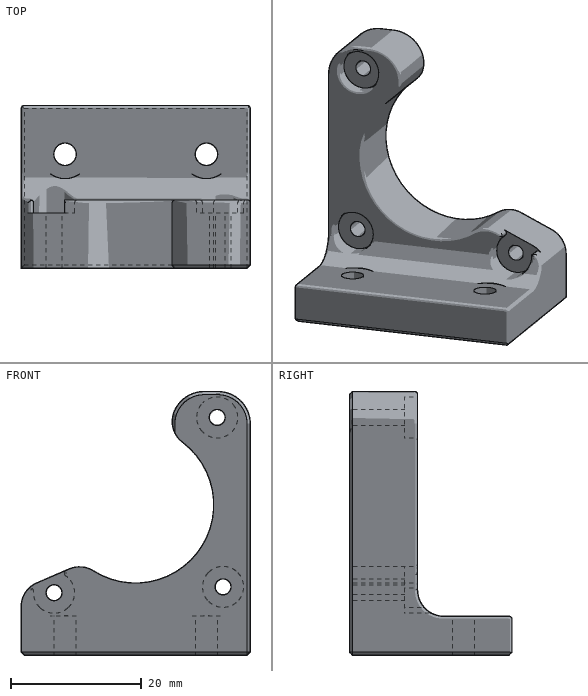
import cadquery as cq
import math

WIDTH = 35.2
DEPTH = 25.0
HEIGHT = 40.5
BASE_THICKNESS = 6.0
WALL_THICKNESS = 10.5
ROOT_RADIUS = 4.0
EDGE_CHAMFER = 0.5
EDGE_RADIUS = 0.5

SEAT_CENTER = (17.55, 23.1)
SEAT_RADIUS = 12.0
BLEND_RADIUS = 4.0
SHOULDER_CENTER = (BLEND_RADIUS, 7.45)
SHOULDER_SLOPE = math.radians(23.3)
UPHILL_NORMAL = SHOULDER_SLOPE + math.pi / 2
HEAD_RADIUS = 5.0
HEAD_FLAT = 2.1
HEAD_RIGHT = (WIDTH - HEAD_RADIUS, HEIGHT - HEAD_RADIUS)
HEAD_LEFT = (HEAD_RIGHT[0] - HEAD_FLAT, HEIGHT - HEAD_RADIUS)

SHOULDER_HOLE = (5.06, 9.6)
WALL_HOLES = [SHOULDER_HOLE, (31.0, 10.5), (30.1, 36.5)]
WALL_HOLE_RADIUS = 1.2
COUNTERBORE_RADIUS = 3.15
COUNTERBORE_DEPTH = 2.0
COUNTERBORE_FLOOR = WALL_THICKNESS - COUNTERBORE_DEPTH

BASE_HOLE_Y = 17.5
BASE_HOLES_X = (6.75, 28.45)
BASE_HOLE_RADIUS = 1.7
SPOT_FACE_RADIUS = 3.75

CLEARANCE = 5.0
TOLERANCE = 0.01


def polar(center, radius, angle):
    return (center[0] + radius * math.cos(angle), center[1] + radius * math.sin(angle))


def direction(start, end):
    return math.atan2(end[1] - start[1], end[0] - start[0])


def prism_along_y(sketch, y_start, y_end):
    """Extrude a closed XZ sketch from y_start to y_end."""
    return sketch.extrude(y_start - y_end).translate((0, y_start, 0))


def cylinder_along_y(center, radius, y_start, y_end):
    return prism_along_y(cq.Workplane("XZ").moveTo(*center).circle(radius), y_start, y_end)


def point_on_slope(start, center, radius, side):
    """Point on the line through start, parallel to the shoulder, at a radius from center.

    The line meets the circle twice: side -1 is the lower point and +1 the upper one.
    """
    gap_x = center[0] - start[0]
    gap_z = center[1] - start[1]
    along = gap_x * math.cos(SHOULDER_SLOPE) + gap_z * math.sin(SHOULDER_SLOPE)
    across = gap_z * math.cos(SHOULDER_SLOPE) - gap_x * math.sin(SHOULDER_SLOPE)
    return polar(start, along + side * math.sqrt(radius**2 - across**2), SHOULDER_SLOPE)


def circles_meet(center, radius, other_center, other_radius):
    """Meeting point of two circles, on the left when looking from the first to the second."""
    span = math.dist(center, other_center)
    cosine = (radius**2 + span**2 - other_radius**2) / (2 * radius * span)
    return polar(center, radius, direction(center, other_center) + math.acos(cosine))


def make_blank():
    """L-shaped bracket with a rounded head; front and bottom edges are chamfered."""
    side = (
        cq.Workplane("YZ")
        .lineTo(DEPTH, 0)
        .lineTo(DEPTH, BASE_THICKNESS)
        .lineTo(WALL_THICKNESS + ROOT_RADIUS, BASE_THICKNESS)
        .radiusArc((WALL_THICKNESS, BASE_THICKNESS + ROOT_RADIUS), ROOT_RADIUS)
        .lineTo(WALL_THICKNESS, HEIGHT)
        .lineTo(0, HEIGHT)
        .close()
        .extrude(WIDTH)
    )
    head_left_x = HEAD_LEFT[0] - HEAD_RADIUS
    ledge_z = SEAT_CENTER[1]
    front = (
        cq.Workplane("XZ")
        .lineTo(WIDTH, 0)
        .lineTo(WIDTH, HEAD_RIGHT[1])
        .radiusArc((HEAD_RIGHT[0], HEIGHT), -HEAD_RADIUS)
        .lineTo(HEAD_LEFT[0], HEIGHT)
        .radiusArc((head_left_x, HEAD_LEFT[1]), -HEAD_RADIUS)
        .lineTo(head_left_x, ledge_z)
        .lineTo(0, ledge_z)
        .close()
    )
    blank = side.intersect(prism_along_y(front, 0, DEPTH))
    front_edges = [
        edge
        for edge in blank.faces("<Y").edges().vals()
        if edge.BoundingBox().xmax > TOLERANCE and abs(edge.Center().z - ledge_z) > TOLERANCE
    ]
    bottom_edges = [edge for edge in blank.faces("<Z").edges().vals() if edge.Center().y > TOLERANCE]
    return blank.newObject(front_edges + bottom_edges).chamfer(EDGE_CHAMFER)


def make_seat_cut():
    """Everything above the shoulder, inside the seat and left of the head."""
    reach = SEAT_RADIUS + BLEND_RADIUS
    crest = point_on_slope(SHOULDER_CENTER, SEAT_CENTER, reach, -1)
    neck = circles_meet(SEAT_CENTER, reach, HEAD_LEFT, HEAD_RADIUS - BLEND_RADIUS)
    crest_end = direction(crest, SEAT_CENTER)
    neck_start = direction(neck, SEAT_CENTER) + 2 * math.pi
    neck_end = direction(HEAD_LEFT, neck)
    seat_middle = (direction(SEAT_CENTER, crest) + direction(SEAT_CENTER, neck)) / 2
    head_touch = polar(neck, BLEND_RADIUS, neck_end)
    sketch = (
        cq.Workplane("XZ")
        .moveTo(-CLEARANCE, SHOULDER_CENTER[1])
        .lineTo(0, SHOULDER_CENTER[1])
        .threePointArc(
            polar(SHOULDER_CENTER, BLEND_RADIUS, (math.pi + UPHILL_NORMAL) / 2),
            polar(SHOULDER_CENTER, BLEND_RADIUS, UPHILL_NORMAL),
        )
        .lineTo(*polar(crest, BLEND_RADIUS, UPHILL_NORMAL))
        .threePointArc(
            polar(crest, BLEND_RADIUS, (UPHILL_NORMAL + crest_end) / 2),
            polar(crest, BLEND_RADIUS, crest_end),
        )
        .threePointArc(
            polar(SEAT_CENTER, SEAT_RADIUS, seat_middle),
            polar(neck, BLEND_RADIUS, neck_start),
        )
        .threePointArc(polar(neck, BLEND_RADIUS, (neck_start + neck_end) / 2), head_touch)
        .lineTo(-CLEARANCE, head_touch[1])
        .close()
    )
    return prism_along_y(sketch, -CLEARANCE, DEPTH + CLEARANCE)


def is_rounded_edge(edge):
    """True for the convex edges of the back, the base top and the root round's ends."""
    box = edge.BoundingBox()
    if box.zmax < EDGE_CHAMFER + TOLERANCE or box.ymin < WALL_THICKNESS - TOLERANCE:
        return False
    root_tangent_heights = (BASE_THICKNESS, BASE_THICKNESS + ROOT_RADIUS)
    is_level = box.ylen < TOLERANCE and box.zlen < TOLERANCE
    is_root_tangent = (
        is_level
        and box.ymax < DEPTH - TOLERANCE
        and any(abs(box.zmax - height) < TOLERANCE for height in root_tangent_heights)
    )
    return not is_root_tangent


def make_bracket(blank, seat_cut):
    """Blank with the seat removed and its back and upper edges rounded."""
    bracket = blank.cut(seat_cut)
    edges = [edge for edge in bracket.edges().vals() if is_rounded_edge(edge)]
    return bracket.newObject(edges).fillet(EDGE_RADIUS)


def is_counterbore_rim(edge):
    """True for edges on a counterbore cylinder that lie behind its floor."""
    if edge.BoundingBox().ymin < COUNTERBORE_FLOOR + TOLERANCE or edge.geomType() == "LINE":
        return False
    point = edge.positionAt(0.5)
    return any(
        abs(math.dist((point.x, point.z), center) - COUNTERBORE_RADIUS) < TOLERANCE for center in WALL_HOLES
    )


def make_counterbored_blank(blank):
    """Blank with all wall counterbores sunk from the back and their rims rounded."""
    for center in WALL_HOLES:
        blank = blank.cut(cylinder_along_y(center, COUNTERBORE_RADIUS, COUNTERBORE_FLOOR, DEPTH))
    rims = [edge for edge in blank.edges().vals() if is_counterbore_rim(edge)]
    return blank.newObject(rims).fillet(EDGE_RADIUS)


def make_lip_cut(lip_center, outward):
    """Sharp tip between a lip round, the shoulder counterbore and the wall outline.

    outward is the direction from the lip centre to where its round meets the outline.
    """
    wedge = cq.Workplane("XZ").polyline(
        [
            lip_center,
            SHOULDER_HOLE,
            polar(SHOULDER_HOLE, CLEARANCE, UPHILL_NORMAL),
            polar(lip_center, 2 * EDGE_RADIUS, outward),
        ]
    )
    tip = prism_along_y(wedge.close(), COUNTERBORE_FLOOR, WALL_THICKNESS)
    return tip.cut(cylinder_along_y(lip_center, EDGE_RADIUS, COUNTERBORE_FLOOR, WALL_THICKNESS))


def round_shoulder_lips(body):
    """Round both lips where the counterbore breaks through the shoulder."""
    reach = COUNTERBORE_RADIUS + EDGE_RADIUS
    inset = BLEND_RADIUS - EDGE_RADIUS
    inset_slope = polar(SHOULDER_CENTER, inset, UPHILL_NORMAL)
    upper_lip = point_on_slope(inset_slope, SHOULDER_HOLE, reach, 1)
    lower_lip = circles_meet(SHOULDER_CENTER, inset, SHOULDER_HOLE, reach)
    body = body.cut(make_lip_cut(upper_lip, UPHILL_NORMAL))
    return body.cut(make_lip_cut(lower_lip, direction(SHOULDER_CENTER, lower_lip)))


def cut_wall_holes(body):
    for center in WALL_HOLES:
        body = body.cut(cylinder_along_y(center, WALL_HOLE_RADIUS, -CLEARANCE, WALL_THICKNESS))
    return body


def cut_base_holes(body):
    spot_face_height = ROOT_RADIUS
    centers = [(x, BASE_HOLE_Y) for x in BASE_HOLES_X]
    holes = cq.Workplane("XY").pushPoints(centers).circle(BASE_HOLE_RADIUS).extrude(BASE_THICKNESS)
    spot_faces = (
        cq.Workplane("XY", origin=(0, 0, BASE_THICKNESS))
        .pushPoints(centers)
        .circle(SPOT_FACE_RADIUS)
        .extrude(spot_face_height)
    )
    return body.cut(holes).cut(spot_faces)


blank_body = make_blank()
seat = make_seat_cut()
body = make_bracket(blank_body, seat).intersect(make_counterbored_blank(blank_body))
body = round_shoulder_lips(body)
body = cut_wall_holes(body)
result = cut_base_holes(body)